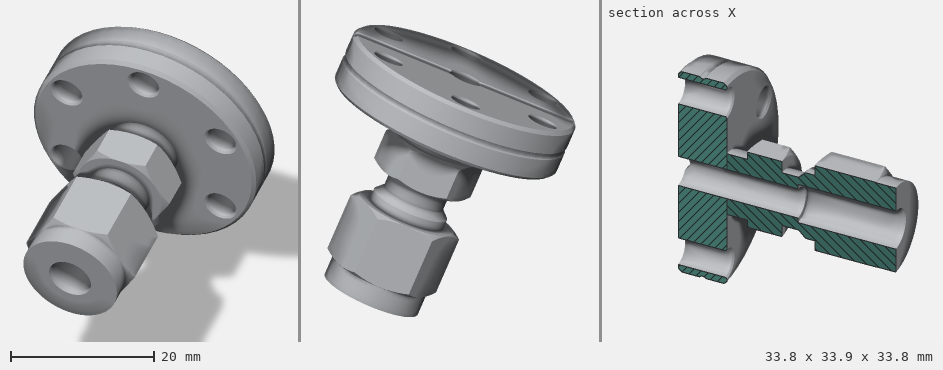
import cadquery as cq
import math


flange_diameter = 33.8
flange_thickness = 7.6
flange_chamfer = 0.5
edge_groove_width = 0.95
edge_groove_depth = 0.25
bolt_count = 6
bolt_circle_diameter = 27.0
bolt_hole_diameter = 4.4
bolt_hole_chamfer = 0.25
notch_width = 2.3
notch_depth = 0.64

bore_diameter = 4.83
tube_socket_diameter = 6.35
weld_neck_diameter = 10.29
waist_diameter = 8.95
collar_diameter = 11.11
nut_nose_diameter = 14.22
body_hex_flats = 12.7
nut_hex_flats = 14.29
hex_chamfer_angle = 30.0

overall_length = 33.94
weld_neck_length = 3.15
body_hex_length = 5.44
waist_length = 2.55
collar_cone_length = (collar_diameter - waist_diameter) / 2
collar_length = 1.4
nut_hex_length = 9.65
tube_socket_depth = 15.24

neck_start = flange_thickness
body_hex_start = neck_start + weld_neck_length
waist_start = body_hex_start + body_hex_length
cone_start = waist_start + waist_length
collar_start = cone_start + collar_cone_length
nut_start = collar_start + collar_length
nut_nose_start = nut_start + nut_hex_length


def plane_at(distance):
    """XZ sketch plane at a distance in front of the flange back, facing -Y."""
    return cq.Workplane("XZ", origin=(0, -distance, 0))


def cylinder(diameter, start, end):
    return plane_at(start).circle(diameter / 2).extrude(end - start)


def chamfered_hex(flats, face_diameter, start, length):
    """Hexagon with corners on +-X, both ends turned down by a cone to a round face."""
    corner_diameter = flats / math.cos(math.pi / 6)
    corner_radius = corner_diameter / 2
    face_radius = face_diameter / 2
    end = start + length
    cone_length = (corner_radius - face_radius) * math.tan(math.radians(hex_chamfer_angle))
    prism = plane_at(start).polygon(6, corner_diameter).extrude(length)
    turned_blank = (
        cq.Workplane("XY")
        .moveTo(0, -start)
        .lineTo(face_radius, -start)
        .lineTo(corner_radius, -start - cone_length)
        .lineTo(corner_radius, -end + cone_length)
        .lineTo(face_radius, -end)
        .lineTo(0, -end)
        .close()
        .revolve(360, (0, 0, 0), (0, 1, 0))
    )
    return prism.intersect(turned_blank)


def make_flange_disc():
    """Disc with chamfered rims and a shallow round groove around its edge."""
    radius = flange_diameter / 2
    middle = flange_thickness / 2
    half_groove = edge_groove_width / 2
    return (
        cq.Workplane("XY")
        .lineTo(radius - flange_chamfer, 0)
        .lineTo(radius, -flange_chamfer)
        .lineTo(radius, -middle + half_groove)
        .threePointArc((radius - edge_groove_depth, -middle), (radius, -middle - half_groove))
        .lineTo(radius, -flange_thickness + flange_chamfer)
        .lineTo(radius - flange_chamfer, -flange_thickness)
        .lineTo(0, -flange_thickness)
        .close()
        .revolve(360, (0, 0, 0), (0, 1, 0))
    )


def make_bolt_holes():
    """Ring of through holes, chamfered at the front face of the flange."""
    mouth_radius = bolt_hole_diameter / 2 + bolt_hole_chamfer
    hole = cylinder(bolt_hole_diameter, 0, flange_thickness)
    mouth = cq.Workplane(
        cq.Solid.makeCone(
            mouth_radius,
            bolt_hole_diameter / 2,
            bolt_hole_chamfer,
            pnt=cq.Vector(0, -flange_thickness, 0),
            dir=cq.Vector(0, 1, 0),
        )
    )
    cutter = hole.union(mouth).translate((0, 0, bolt_circle_diameter / 2))
    holes = cq.Workplane("XY")
    for index in range(bolt_count):
        holes = holes.add(cutter.rotate((0, 0, 0), (0, 1, 0), index * 360 / bolt_count))
    return holes


def make_notch():
    """Round-bottomed channel along X across the flange back."""
    half_width = notch_width / 2
    notch_radius = (half_width**2 + notch_depth**2) / (2 * notch_depth)
    return (
        cq.Workplane("YZ")
        .center(notch_radius - notch_depth, 0)
        .circle(notch_radius)
        .extrude(flange_diameter / 2, both=True)
    )


def make_flange():
    disc = make_flange_disc().cut(cylinder(bore_diameter, 0, flange_thickness))
    for hole in make_bolt_holes().vals():
        disc = disc.cut(cq.Workplane(hole))
    return disc.cut(make_notch())


def make_collar():
    """Coned shoulder and straight collar between the waist and the nut."""
    cone = cq.Workplane(
        cq.Solid.makeCone(
            waist_diameter / 2,
            collar_diameter / 2,
            collar_cone_length,
            pnt=cq.Vector(0, -cone_start, 0),
            dir=cq.Vector(0, -1, 0),
        )
    )
    return cone.union(cylinder(collar_diameter, collar_start, nut_start))


def make_tube_fitting():
    fitting = (
        cylinder(weld_neck_diameter, neck_start, body_hex_start)
        .union(chamfered_hex(body_hex_flats, body_hex_flats, body_hex_start, body_hex_length))
        .union(cylinder(waist_diameter, waist_start, cone_start))
        .union(make_collar())
        .union(chamfered_hex(nut_hex_flats, nut_nose_diameter, nut_start, nut_hex_length))
        .union(cylinder(nut_nose_diameter, nut_nose_start, overall_length))
    )
    bore = cylinder(bore_diameter, neck_start, overall_length)
    tube_socket = cylinder(tube_socket_diameter, overall_length - tube_socket_depth, overall_length)
    return fitting.cut(bore).cut(tube_socket)


flange = make_flange().solids()
tube_fitting = make_tube_fitting().solids()

result = cq.Compound.makeCompound([flange.val(), tube_fitting.val()])